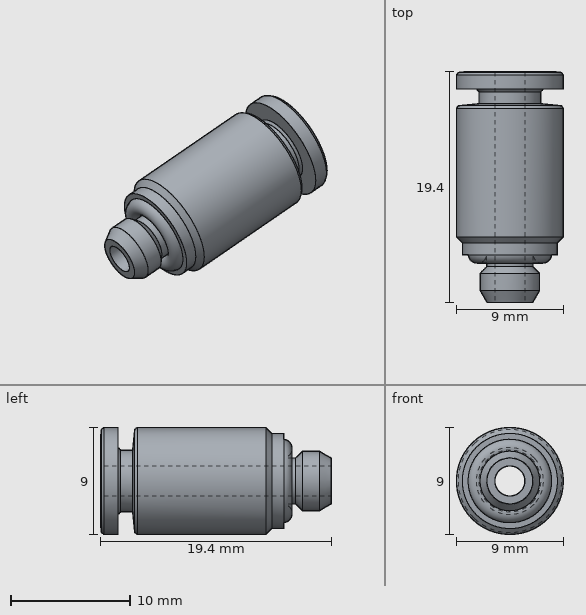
import cadquery as cq
import math

length = 19.4
outer_radius = 9.0 / 2
bore_diameter = 2.5

rim_length = 0.23
rim_angle = 35.0
rim_radius = outer_radius - rim_length * math.tan(math.radians(rim_angle))

ring_face_radius = 3.65
ring_rim_start = 0.08
ring_end = 1.5
collar_radius = 5.2 / 2
collar_chamfer = 0.21

body_back = 2.7
body_rim_start = 2.87
body_end = 13.9
step_radius = 8.0 / 2
step_start = body_end + outer_radius - step_radius
step_end = 15.4

seal_outer_radius = 7.02 / 2
seal_end = 16.1

neck_radius = 3.9 / 2
nose_radius = 5.0 / 2
shoulder_start = 16.4
shoulder_end = shoulder_start + nose_radius - neck_radius
taper_length = 1.0
taper_angle = 30.0
tip_radius = nose_radius - taper_length * math.tan(math.radians(taper_angle))


def turned(radius_station_points):
    """Solid of revolution about Y from a profile of (radius, station) points."""
    outline = [(0, 0)] + radius_station_points + [(0, length)]
    profile = cq.Workplane("XY").polyline([(radius, -station) for radius, station in outline]).close()
    return profile.revolve(360, (0, 0, 0), (0, 1, 0))


def sealing_ring():
    """O-ring touching the neck, with its front at seal_end."""
    section_radius = (seal_outer_radius - neck_radius) / 2
    centre_radius = neck_radius + section_radius
    section = cq.Workplane("XY").center(centre_radius, section_radius - seal_end).circle(section_radius)
    return section.revolve(360, (-centre_radius, 0, 0), (-centre_radius, 1, 0))


release_ring = [
    (ring_face_radius, 0),
    (rim_radius, ring_rim_start),
    (outer_radius, ring_rim_start + rim_length),
    (outer_radius, ring_end),
    (collar_radius + collar_chamfer, ring_end),
    (collar_radius, ring_end + collar_chamfer),
]
body = [
    (collar_radius, body_back),
    (rim_radius, body_rim_start),
    (outer_radius, body_rim_start + rim_length),
    (outer_radius, body_end),
    (step_radius, step_start),
    (step_radius, step_end),
]
nose = [
    (neck_radius, step_end),
    (neck_radius, shoulder_start),
    (nose_radius, shoulder_end),
    (nose_radius, length - taper_length),
    (tip_radius, length),
]

bore = cq.Workplane("XZ").circle(bore_diameter / 2).extrude(length)

result = turned(release_ring + body + nose).union(sealing_ring()).cut(bore)
result = result.translate((0, length / 2, 0))